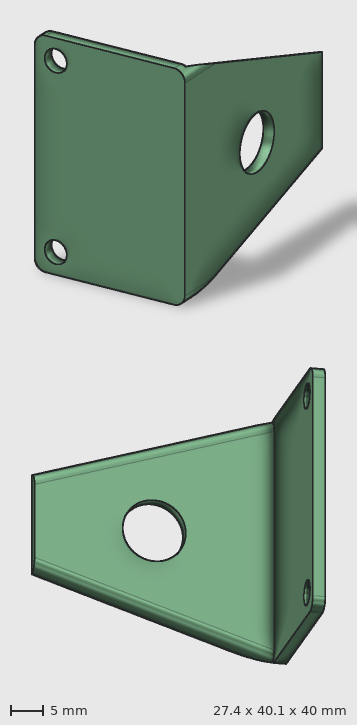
import cadquery as cq
import math

width = 27.4
depth = 40.1
height = 40.0
thickness = 2.0
corner_radius = 2.0

mount_hole_diameter = 4.0
mount_hole_inset = 3.85
mount_hole_spacing = 32.35

edge_radius = thickness
tip_half_height = 6.0
root_half_height = height / 2 - corner_radius
large_hole_diameter = 10.02
large_hole_distance = 21.05


def rounded_block(length):
    """Front outline, extruded back from the front face along Y."""
    return (
        cq.Workplane("XZ")
        .rect(width, height)
        .extrude(-length)
        .edges("|Y")
        .fillet(corner_radius)
    )


def edge_round(side):
    """Cylinder along one sloped edge (side = 1 upper, -1 lower), overrunning both ends."""
    run = depth - thickness
    rise = tip_half_height - root_half_height
    length = math.hypot(run, rise)
    overrun = thickness
    direction = cq.Vector(0, run / length, side * rise / length)
    root = cq.Vector(width / 2, thickness, side * root_half_height)
    start = root - direction * overrun
    return cq.Solid.makeCylinder(edge_radius, length + 2 * overrun, start, direction)


def tapered_plate():
    plate = (
        cq.Workplane("YZ", origin=(width / 2 - thickness, 0, 0))
        .polyline([
            (thickness, -root_half_height),
            (depth, -tip_half_height),
            (depth, tip_half_height),
            (thickness, root_half_height),
        ])
        .close()
        .extrude(thickness)
    )
    for side in (1, -1):
        plate = plate.union(cq.Workplane(edge_round(side)))
    return plate.intersect(rounded_block(depth))


def mount_holes():
    return (
        cq.Workplane("XZ")
        .center(mount_hole_inset - width / 2, 0)
        .rarray(0.4, mount_hole_spacing, 1, 2)
        .circle(mount_hole_diameter / 2)
        .extrude(-thickness)
    )


def large_hole():
    return (
        cq.Workplane("YZ", origin=(width / 2 - thickness, 0, 0))
        .center(large_hole_distance, 0)
        .circle(large_hole_diameter / 2)
        .extrude(thickness)
    )


front_plate = rounded_block(thickness)
result = front_plate.union(tapered_plate()).cut(mount_holes()).cut(large_hole())